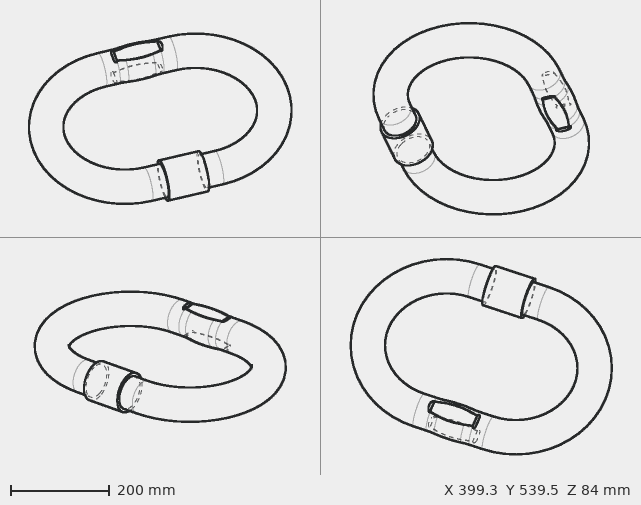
import cadquery as cq

bar_diameter = 70.0
leg_spacing = 319.5
leg_length = 150.0

sleeve_diameter = 84.0
sleeve_length = 84.0

swell_diameter = 75.5
swell_length = 93.0
swell_crown_length = 57.0
flat_height = 32.5
flat_run_out = 6.5

plate_thickness = 1.0
plate_end_width = 25.0
plate_middle_width = 38.0

bar_radius = bar_diameter / 2
swell_radius = swell_diameter / 2
leg_x = leg_spacing / 2
half_leg = leg_length / 2
half_swell = swell_length / 2
half_crown = swell_crown_length / 2


def leg_cylinder(x, diameter, length):
    """Cylinder along Y, centred on Y = 0, on the leg axis at x."""
    return (
        cq.Workplane("XZ", origin=(x, length / 2, 0))
        .circle(diameter / 2)
        .extrude(length)
    )


def end_bend(side):
    """Half-ring joining the legs at the +Y (side = 1) or -Y (side = -1) end."""
    bend_axis_end = (-leg_x, side)
    return (
        cq.Workplane("XZ", origin=(leg_x, side * half_leg, 0))
        .circle(bar_radius)
        .revolve(180, (-leg_x, 0), bend_axis_end)
    )


def swollen_leg():
    """Round leg whose radius swells smoothly towards the middle."""
    joint_radius = swell_radius - (swell_radius - bar_radius) * half_crown / half_swell
    profile = (
        cq.Workplane("XY", origin=(-leg_x, 0, 0))
        .moveTo(0, -half_leg)
        .lineTo(bar_radius, -half_leg)
        .lineTo(bar_radius, -half_swell)
        .tangentArcPoint((joint_radius, -half_crown), relative=False)
        .tangentArcPoint((joint_radius, half_crown), relative=False)
        .tangentArcPoint((bar_radius, half_swell), relative=False)
        .lineTo(bar_radius, half_leg)
        .lineTo(0, half_leg)
        .close()
    )
    return profile.revolve(360, (0, 0), (0, 1))


def flat_cutter():
    """Material removed above the upper flat: level floor curving up to the bar surface at each end."""
    cutter_top = swell_diameter
    half_cut = half_swell + flat_run_out
    return (
        cq.Workplane("YZ", origin=(-leg_x, 0, 0))
        .moveTo(-half_swell, flat_height)
        .lineTo(half_swell, flat_height)
        .tangentArcPoint((half_cut, bar_radius), relative=False)
        .lineTo(half_cut, cutter_top)
        .lineTo(-half_cut, cutter_top)
        .lineTo(-half_cut, bar_radius)
        .tangentArcPoint((-half_swell, flat_height), relative=False)
        .close()
        .extrude(swell_radius, both=True)
    )


def name_plate():
    """Thin barrel-sided plate standing on the upper flat."""
    return (
        cq.Workplane("XY", origin=(-leg_x, 0, flat_height))
        .moveTo(-plate_end_width / 2, -half_swell)
        .lineTo(plate_end_width / 2, -half_swell)
        .threePointArc((plate_middle_width / 2, 0), (plate_end_width / 2, half_swell))
        .lineTo(-plate_end_width / 2, half_swell)
        .threePointArc((-plate_middle_width / 2, 0), (-plate_end_width / 2, -half_swell))
        .close()
        .extrude(plate_thickness)
    )


upper_cutter = flat_cutter()
lower_cutter = upper_cutter.mirror("XY")
upper_plate = name_plate()
lower_plate = upper_plate.mirror("XY")
grip_leg = (
    swollen_leg()
    .cut(upper_cutter)
    .cut(lower_cutter)
    .union(upper_plate)
    .union(lower_plate)
)

sleeve_leg = leg_cylinder(leg_x, bar_diameter, leg_length)
sleeve = leg_cylinder(leg_x, sleeve_diameter, sleeve_length)

result = (
    grip_leg
    .union(sleeve_leg)
    .union(sleeve)
    .union(end_bend(1))
    .union(end_bend(-1))
)